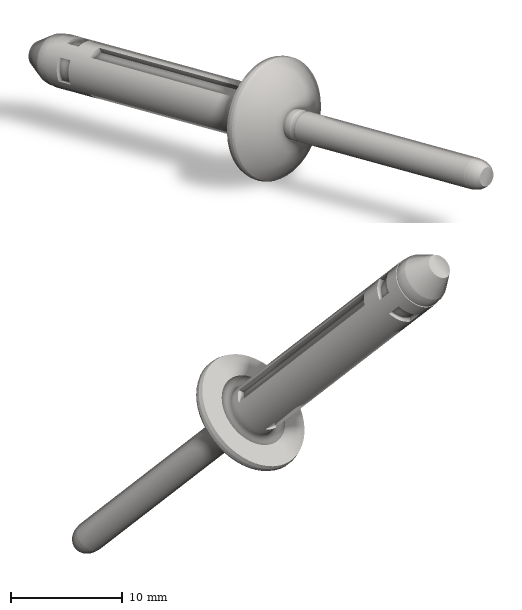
import cadquery as cq
import math

total_length = 55.7
nose_cone_end = 2.1
nose_end = 3.3
flange_start = 28.85
flange_thickness = 0.95
dome_end = 31.85
neck_start = 32.6
neck_end = 33.3
tail_taper_start = 54.25
tail_round_start = 54.65

nose_tip_radius = 1.15
nose_cone_radius = 2.3
nose_radius = 2.4
body_radius = 4.95 / 2
flange_radius = 11.55 / 2
dome_top_radius = 1.5
shank_radius = 1.45
neck_radius = 1.4
tail_round_radius = 1.4
tail_tip_radius = 0.9

rim_inset = 0.1
rim_back_bevel = 0.4
rim_front_bevel = 0.2
neck_taper = 0.2
recess_outer_radius = 3.5
recess_width = recess_outer_radius - body_radius
nose_bulge = 0.085
tail_bulge = 0.1

slot_count = 3
slot_start = 8.25
slot_end = 27.8
slot_width = 1.35
slot_floor = 1.8
window_count = 4
window_start = 4.75
window_end = 6.2
window_width = 2.3
window_core_radius = 2.05


def bulged_middle(start, end, bulge):
    """Point midway between two profile points, raised away from the axis."""
    return ((start[0] + end[0]) / 2, (start[1] + end[1]) / 2 + bulge)


def dome_middle(base, top):
    """Middle point of the dome arc, whose centre lies on the X axis."""
    rise = top[0] - base[0]
    base_offset = (base[1] ** 2 - top[1] ** 2 - rise**2) / (2 * rise)
    center_x = base[0] - base_offset
    dome_radius = math.hypot(base_offset, base[1])
    middle_x = (base[0] + top[0]) / 2
    return (middle_x, math.sqrt(dome_radius**2 - (middle_x - center_x) ** 2))


def turned_body():
    """Solid rivet: nose, sleeve, domed flange and shank, revolved about X."""
    cone_end = (nose_cone_end, nose_cone_radius)
    nose_back = (nose_end, nose_radius)
    recess_half = recess_width / 2
    dome_base = (flange_start + flange_thickness, flange_radius - rim_inset)
    dome_top = (dome_end, dome_top_radius)
    tail_round = (tail_round_start, tail_round_radius)
    tail_tip = (total_length, tail_tip_radius)
    profile = (
        cq.Workplane("XY")
        .moveTo(0, 0)
        .lineTo(0, nose_tip_radius)
        .lineTo(*cone_end)
        .threePointArc(bulged_middle(cone_end, nose_back, nose_bulge), nose_back)
        .lineTo(nose_end, body_radius)
        .lineTo(flange_start, body_radius)
        .threePointArc(
            (flange_start + recess_half, body_radius + recess_half),
            (flange_start, recess_outer_radius),
        )
        .lineTo(flange_start, flange_radius - rim_inset)
        .lineTo(flange_start + rim_back_bevel, flange_radius)
        .lineTo(dome_base[0] - rim_front_bevel, flange_radius)
        .lineTo(*dome_base)
        .threePointArc(dome_middle(dome_base, dome_top), dome_top)
        .lineTo(dome_end, shank_radius)
        .lineTo(neck_start, shank_radius)
        .lineTo(neck_start + neck_taper, neck_radius)
        .lineTo(neck_end - neck_taper, neck_radius)
        .lineTo(neck_end, shank_radius)
        .lineTo(tail_taper_start, shank_radius)
        .lineTo(*tail_round)
        .threePointArc(bulged_middle(tail_round, tail_tip, tail_bulge), tail_tip)
        .lineTo(total_length, 0)
        .close()
    )
    return profile.revolve(360, (0, 0, 0), (1, 0, 0))


def pocket_block(start, end, width, floor):
    """Block facing +Y that leaves a flat floor at the given height off the axis."""
    return (
        cq.Workplane("XY")
        .box(end - start, body_radius, width, centered=(False, False, True))
        .translate((start, floor, 0))
    )


def around_axis(block, count):
    """Evenly spaced copies of a block, turned about the X axis."""
    return [block.rotate((0, 0, 0), (1, 0, 0), i * 360 / count) for i in range(count)]


slot = pocket_block(slot_start, slot_end, slot_width, slot_floor)

core = cq.Workplane("YZ").circle(window_core_radius).extrude(total_length)
window = pocket_block(window_start, window_end, window_width, 0).cut(core)

result = turned_body()
for cutter in around_axis(slot, slot_count) + around_axis(window, window_count):
    result = result.cut(cutter)